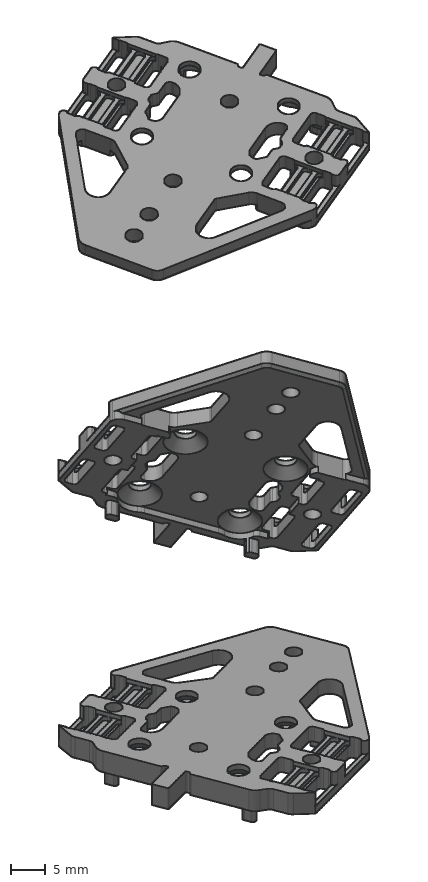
import cadquery as cq
import math

PLATE_DEPTH = 2.5
BODY_DEPTH = 3.55
PIN_DEPTH = 6.0
EDGE_CHAMFER = 0.45

HALF_WIDTH = 20.72
TAB_HALF_WIDTH = 1.35
TAB_END_Y = 16.63
TAB_CORNER_RADIUS = 0.15
FRONT_Y = 11.65
RELIEF_Y = 11.2
SHOULDER_Y = 9.95
SIDE_TOP_Y = 8.1
SIDE_BOTTOM_Y = -9.0
TAIL_Y = TAB_END_Y - 47.1
TAIL_HALF_WIDTH = 6.3

BOLT_DIAMETER = 3.2
BOLT_X = 8.0
BOLT_Y = 7.5
BOLT_STRAIGHT_DEPTH = 0.9
COUNTERSINK_RADIUS = BOLT_DIAMETER / 2 + PLATE_DEPTH - BOLT_STRAIGHT_DEPTH
SMALL_DIAMETER = 2.55
SMALL_SIDE_X = 15.95
SMALL_CENTRE_YS = (4.47, -13.35, -20.8, -25.58)

ARM_INNER_X = 12.95
ARM_OUTER_RADIUS = 1.5
FOOT_END_Y = -10.17
FOOT_INNER_X = 11.25
FOOT_RADIUS = 1.25
FOOT_INNER_RADIUS = 0.4
BRIDGE_ROUND_RADIUS = 3.05
BRIDGE_ROUND_OFFSET = 2.1
BOLT_CLEARANCE_RADIUS = 3.2
LOBE_END_X = 10.85
LOBE_ROUND_RADIUS = 0.95

PIN_X = 11.1
PIN_Y = 10.1
PIN_LENGTH = 2.05
PIN_WIDTH = 1.3
PIN_RADIUS = 0.5
PIN_INNER_RADIUS = 0.75

POCKET_YS = (4.85, -4.85)
POCKET_LENGTH = 6.25
POCKET_CENTRE_X = SMALL_SIDE_X
RIB_DEPTH = 0.7
LEDGE_DEPTH = 1.4
RAIL_DEPTH = 2.25
GROOVE_HALF_WIDTH = 0.75
RIB_HALF_WIDTH = 1.5
LEDGE_HALF_WIDTH = 1.95
WINDOW_INNER_X = 11.55
WINDOW_OUTER_X = 20.0
WINDOW_NEAR_OVERRUN = 0.3
WINDOW_FAR_OVERRUN = 0.1
POCKET_RADIUS = 0.55
WINDOW_RADIUS = 0.65

WEB_HALF_WIDTH = 7.0


def tangent_points(before, corner, after):
    """Start, middle and end of the arc that rounds a corner given as (x, y, radius)."""
    x, y, radius = corner
    to_before = math.atan2(before[1] - y, before[0] - x)
    to_after = math.atan2(after[1] - y, after[0] - x)
    half_angle = abs(math.remainder(to_after - to_before, 2 * math.pi)) / 2
    bisector = to_before + math.remainder(to_after - to_before, 2 * math.pi) / 2
    setback = radius / math.tan(half_angle)
    to_arc = radius / math.sin(half_angle) - radius
    return [
        (x + distance * math.cos(angle), y + distance * math.sin(angle))
        for distance, angle in ((setback, to_before), (to_arc, bisector), (setback, to_after))
    ]


def rounded_prism(corners, depth, top=0.0):
    """Prism below z = top from corners (x, y, radius); radius 0 keeps a corner sharp."""
    sketch = None
    for index, corner in enumerate(corners):
        after = corners[(index + 1) % len(corners)]
        if corner[2] > 0:
            start, middle, end = tangent_points(corners[index - 1], corner, after)
        else:
            start = corner[:2]
        if sketch is None:
            sketch = cq.Workplane("XY", origin=(0, 0, top)).moveTo(*start)
        else:
            sketch = sketch.lineTo(*start)
        if corner[2] > 0:
            sketch = sketch.threePointArc(middle, end)
    return sketch.close().extrude(-depth)


def block(x_min, x_max, y_min, y_max, depth, radius=0.0):
    """Upright block from the top face down, with equal corner radii."""
    corners = [(x_min, y_min), (x_max, y_min), (x_max, y_max), (x_min, y_max)]
    return rounded_prism([(x, y, radius) for x, y in corners], depth)


def both_sides(solid):
    return solid.union(solid.mirror("YZ"))


def outline_prism(depth):
    right = [
        (TAB_HALF_WIDTH, TAB_END_Y, TAB_CORNER_RADIUS),
        (TAB_HALF_WIDTH, RELIEF_Y, 0.2),
        (2.03, RELIEF_Y, 0.25),
        (2.35, FRONT_Y, 0.15),
        (12.6, FRONT_Y, 2.05),
        (14.4, SHOULDER_Y, 1.1),
        (17.6, SHOULDER_Y, 1.4),
        (HALF_WIDTH, SIDE_TOP_Y, 0.0),
        (HALF_WIDTH, SIDE_BOTTOM_Y, 1.05),
        (TAIL_HALF_WIDTH, TAIL_Y, 1.7),
    ]
    left = [(-x, y, radius) for x, y, radius in reversed(right)]
    return rounded_prism(right + left, depth)


def polar(centre, radius, angle):
    return (centre[0] + radius * math.cos(angle), centre[1] + radius * math.sin(angle))


def locating_pin():
    """Rounded pin on the right side, starting at the underside of the plate."""
    x_min = PIN_X - PIN_LENGTH / 2
    x_max = PIN_X + PIN_LENGTH / 2
    y_min = PIN_Y - PIN_WIDTH / 2
    y_max = PIN_Y + PIN_WIDTH / 2
    corners = [
        (x_min, y_min, PIN_INNER_RADIUS),
        (x_max, y_min, PIN_RADIUS),
        (x_max, y_max, PIN_RADIUS),
        (x_min, y_max, PIN_RADIUS),
    ]
    return rounded_prism(corners, PIN_DEPTH - PLATE_DEPTH, -PLATE_DEPTH)


def lower_layer():
    """Full-depth arms, bridge and pins around the open underside."""
    bolt = (BOLT_X, BOLT_Y)

    bridge_reach = BOLT_CLEARANCE_RADIUS + BRIDGE_ROUND_RADIUS
    join_angle = math.pi - math.acos(BRIDGE_ROUND_OFFSET / bridge_reach)
    bridge_round = polar(bolt, bridge_reach, join_angle)
    bridge_y = bridge_round[1] - BRIDGE_ROUND_RADIUS
    lobe_end_angle = math.acos((LOBE_END_X - BOLT_X) / BOLT_CLEARANCE_RADIUS)
    step_round = polar(bolt, BOLT_CLEARANCE_RADIUS + LOBE_ROUND_RADIUS, lobe_end_angle)
    step_y = step_round[1] - LOBE_ROUND_RADIUS
    down = -math.pi / 2
    recess = (
        cq.Workplane("XY")
        .moveTo(0, 0)
        .lineTo(0, bridge_y)
        .lineTo(bridge_round[0], bridge_y)
        .threePointArc(
            polar(bridge_round, BRIDGE_ROUND_RADIUS, (down + join_angle - math.pi) / 2),
            polar(bolt, BOLT_CLEARANCE_RADIUS, join_angle),
        )
        .threePointArc(
            polar(bolt, BOLT_CLEARANCE_RADIUS, (join_angle + lobe_end_angle) / 2),
            polar(bolt, BOLT_CLEARANCE_RADIUS, lobe_end_angle),
        )
        .threePointArc(
            polar(step_round, LOBE_ROUND_RADIUS, (lobe_end_angle - math.pi + down) / 2),
            (step_round[0], step_y),
        )
        .lineTo(ARM_INNER_X, step_y)
        .lineTo(ARM_INNER_X, 0)
        .close()
        .extrude(-PIN_DEPTH)
    )
    bridge = block(0, ARM_INNER_X, 0, TAB_END_Y, BODY_DEPTH).union(locating_pin()).cut(recess)

    tail_slope = (HALF_WIDTH - TAIL_HALF_WIDTH) / (SIDE_BOTTOM_Y - TAIL_Y)
    arm = rounded_prism(
        [
            (ARM_INNER_X, TAB_END_Y, 0.0),
            (ARM_INNER_X, -step_y, 0.0),
            (FOOT_INNER_X, -step_y, FOOT_INNER_RADIUS),
            (FOOT_INNER_X, FOOT_END_Y, FOOT_RADIUS),
            (HALF_WIDTH - tail_slope * (SIDE_BOTTOM_Y - FOOT_END_Y), FOOT_END_Y, ARM_OUTER_RADIUS),
            (HALF_WIDTH + tail_slope * (TAB_END_Y - SIDE_BOTTOM_Y), TAB_END_Y, 0.0),
        ],
        BODY_DEPTH,
    )
    return outline_prism(PIN_DEPTH).intersect(both_sides(arm.union(bridge)))


def body():
    plate = outline_prism(PLATE_DEPTH).faces("<Z").edges("<Y").chamfer(EDGE_CHAMFER)
    return plate.union(lower_layer())


def bolt_holes():
    """Clearance holes that flare out towards the underside of the plate."""
    hole = (
        cq.Workplane("XZ")
        .polyline(
            [
                (0, 0),
                (BOLT_DIAMETER / 2, 0),
                (BOLT_DIAMETER / 2, -BOLT_STRAIGHT_DEPTH),
                (COUNTERSINK_RADIUS, -PLATE_DEPTH),
                (0, -PLATE_DEPTH),
            ]
        )
        .close()
        .revolve(360, (0, 0), (0, 1))
    )
    right = hole.translate((BOLT_X, BOLT_Y, 0)).union(hole.translate((BOLT_X, -BOLT_Y, 0)))
    return both_sides(right)


def small_holes():
    centres = [(0, y) for y in SMALL_CENTRE_YS] + [(SMALL_SIDE_X, 0), (-SMALL_SIDE_X, 0)]
    return cq.Workplane("XY").pushPoints(centres).circle(SMALL_DIAMETER / 2).extrude(-BODY_DEPTH)


def keyed_slots():
    corners = [
        (WEB_HALF_WIDTH, 4.05, 2.0),
        (9.85, 4.05, 0.75),
        (9.85, 1.22, 0.55),
        (10.6, 0.5, 0.4),
        (10.6, -0.5, 0.4),
        (9.85, -1.22, 0.55),
        (9.85, -2.85, 0.15),
        (8.7, -4.0, 0.4),
        (WEB_HALF_WIDTH, -4.0, 1.25),
    ]
    return both_sides(rounded_prism(corners, BODY_DEPTH))


def triangular_windows():
    top_y = -10.05
    corners = [
        (11.2, top_y, 1.65),
        (17.6, top_y, 0.95),
        (WEB_HALF_WIDTH, -25.7, 1.95),
        (WEB_HALF_WIDTH, -13.75, 0.4),
    ]
    return both_sides(rounded_prism(corners, BODY_DEPTH))


def side_pocket(centre_y):
    """Ribbed pocket on the right side, open outwards above a low rail."""
    y_min = centre_y - POCKET_LENGTH / 2
    y_max = centre_y + POCKET_LENGTH / 2
    window_y_min = y_min - WINDOW_NEAR_OVERRUN
    window_y_max = y_max + WINDOW_FAR_OVERRUN
    ledge_inner_x = POCKET_CENTRE_X - LEDGE_HALF_WIDTH
    ledge_outer_x = POCKET_CENTRE_X + LEDGE_HALF_WIDTH
    rib_inner_x = POCKET_CENTRE_X - RIB_HALF_WIDTH
    rib_outer_x = POCKET_CENTRE_X + RIB_HALF_WIDTH
    groove_inner_x = POCKET_CENTRE_X - GROOVE_HALF_WIDTH
    groove_outer_x = POCKET_CENTRE_X + GROOVE_HALF_WIDTH
    inner_window_x = (WINDOW_INNER_X + ledge_inner_x) / 2
    outer_window_x = (ledge_outer_x + WINDOW_OUTER_X) / 2

    cutter = block(inner_window_x, HALF_WIDTH, y_min, y_max, RIB_DEPTH)
    cutter = cutter.union(block(groove_inner_x, groove_outer_x, y_min, y_max, LEDGE_DEPTH, POCKET_RADIUS))
    cutter = cutter.union(block(WINDOW_INNER_X, rib_inner_x, y_min, y_max, LEDGE_DEPTH, POCKET_RADIUS))
    cutter = cutter.union(block(rib_outer_x, WINDOW_OUTER_X, y_min, y_max, LEDGE_DEPTH, POCKET_RADIUS))
    for x_min, x_max in ((WINDOW_INNER_X, ledge_inner_x), (ledge_outer_x, WINDOW_OUTER_X)):
        window = block(x_min, x_max, window_y_min, window_y_max, BODY_DEPTH, WINDOW_RADIUS)
        cutter = cutter.union(window)

    mouth = block(outer_window_x, HALF_WIDTH, y_min, y_max, RAIL_DEPTH)
    for wall_y, inward in ((y_min, 1), (y_max, -1)):
        if wall_y + POCKET_RADIUS > SIDE_TOP_Y:
            continue
        round_x = HALF_WIDTH - POCKET_RADIUS
        corner = block(round_x, HALF_WIDTH, *sorted((wall_y, wall_y - inward * POCKET_RADIUS)), RAIL_DEPTH)
        post = (
            cq.Workplane("XY")
            .center(round_x, wall_y - inward * POCKET_RADIUS)
            .circle(POCKET_RADIUS)
            .extrude(-RAIL_DEPTH)
        )
        mouth = mouth.union(corner.cut(post))
    return cutter.union(mouth)


result = body().cut(bolt_holes()).cut(small_holes())
result = result.cut(keyed_slots()).cut(triangular_windows())
for pocket_y in POCKET_YS:
    result = result.cut(both_sides(side_pocket(pocket_y)))